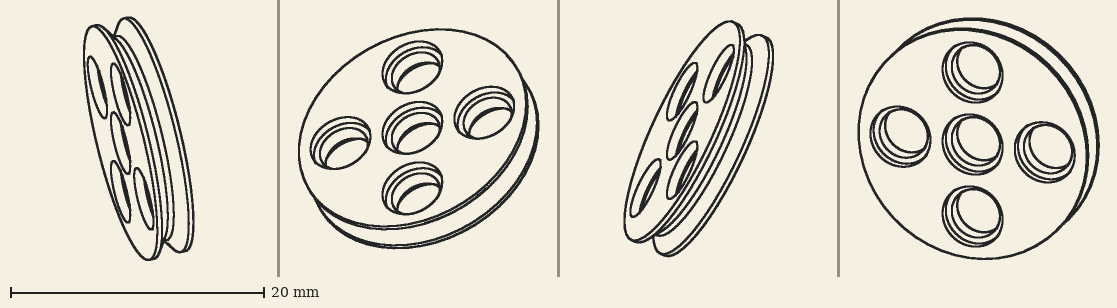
import cadquery as cq

wheel_diameter = 19.0
wheel_width = 3.0
rim_width = 0.4
groove_floor_diameter = 16.6
groove_floor_width = 0.5

hole_diameter = 4.0
counterbore_diameter = 5.0
counterbore_depth = 0.8
hole_circle_radius = 6.0

wheel_radius = wheel_diameter / 2
groove_floor_radius = groove_floor_diameter / 2
front_y = -wheel_width / 2
groove_edge_y = wheel_width / 2 - rim_width
floor_edge_y = groove_floor_width / 2

hole_centers = [
    (0, 0),
    (hole_circle_radius, 0),
    (-hole_circle_radius, 0),
    (0, hole_circle_radius),
    (0, -hole_circle_radius),
]


def grooved_wheel():
    """Revolve the half section, with its flat-bottomed V groove, about Y."""
    half_section = (
        cq.Workplane("XY")
        .moveTo(0, front_y)
        .lineTo(wheel_radius, front_y)
        .lineTo(wheel_radius, -groove_edge_y)
        .lineTo(groove_floor_radius, -floor_edge_y)
        .lineTo(groove_floor_radius, floor_edge_y)
        .lineTo(wheel_radius, groove_edge_y)
        .lineTo(wheel_radius, -front_y)
        .lineTo(0, -front_y)
        .close()
    )
    return half_section.revolve(360, (0, 0, 0), (0, 1, 0))


def cut_counterbored_holes(wheel):
    """Cut the through holes, each counterbored from both faces."""
    front_face = cq.Workplane("XZ", origin=(0, front_y, 0)).pushPoints(hole_centers)
    through_holes = front_face.circle(hole_diameter / 2).extrude(-wheel_width)
    front_counterbores = front_face.circle(counterbore_diameter / 2).extrude(-counterbore_depth)
    back_counterbores = front_counterbores.mirror("XZ")
    return wheel.cut(through_holes).cut(front_counterbores).cut(back_counterbores)


result = cut_counterbored_holes(grooved_wheel())